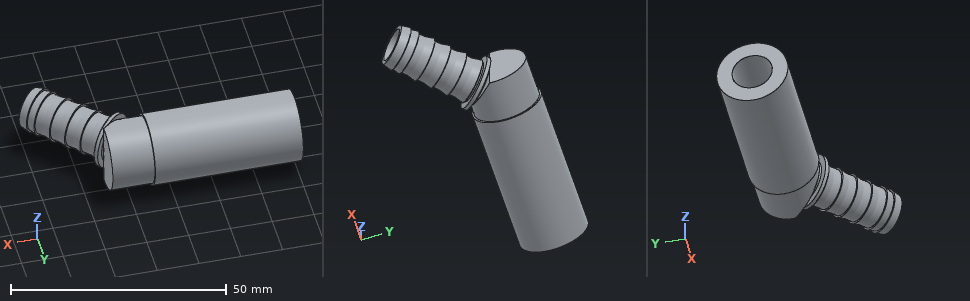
import cadquery as cq
import math

sleeve_diameter = 17.0
sleeve_length = 35.45
shank_diameter = 16.0
shank_end = 45.5
entry_bore_diameter = 9.5
passage_diameter = 8.0

overall_length = 61.75
overall_width = 32.75
tail_angle = 45.0
tail_length = 23.0
tail_diameter = 10.0

collar_diameter = 13.5
collar_start = 0.55
collar_thickness = 1.0

barb_diameter = 11.0
barb_start = 2.05
barb_pitch = 4.15
barb_count = 5
barb_length = barb_pitch / 2
tip_barb_start = barb_start + (barb_count - 0.5) * barb_pitch

cos_tail = math.cos(math.radians(tail_angle))
sin_tail = math.sin(math.radians(tail_angle))
tip_x = overall_length - tail_diameter / 2 * sin_tail
tip_y = sleeve_diameter / 2 - overall_width + tail_diameter / 2 * cos_tail
elbow_x = tip_x + tip_y * cos_tail / sin_tail

seat_plane = cq.Plane(
    origin=(tip_x - tail_length * cos_tail, tip_y + tail_length * sin_tail, 0),
    xDir=(sin_tail, cos_tail, 0),
    normal=(cos_tail, -sin_tail, 0),
)


def tail_cylinder(diameter, start, length):
    """Round section of the tail, placed by its distance from the seat face."""
    return cq.Workplane(seat_plane).workplane(offset=start).circle(diameter / 2).extrude(length)


def barb(start, length):
    """Conical barb with its crest toward the collar."""
    return (
        cq.Workplane(seat_plane)
        .workplane(offset=start)
        .circle(barb_diameter / 2)
        .workplane(offset=length)
        .circle(tail_diameter / 2)
        .loft(ruled=True)
    )


def straight_body():
    """Sleeve and thinner shank, with the shank corner cut off by the seat face."""
    sleeve = cq.Workplane("YZ").circle(sleeve_diameter / 2).extrude(sleeve_length)
    shank = cq.Workplane("YZ").circle(shank_diameter / 2).extrude(shank_end)
    corner = tail_cylinder(2 * shank_diameter, 0, shank_diameter)
    return sleeve.union(shank.cut(corner))


def hose_tail():
    """Tail with its collar and barbs."""
    tail = tail_cylinder(tail_diameter, 0, tail_length)
    tail = tail.union(tail_cylinder(collar_diameter, collar_start, collar_thickness))
    for index in range(barb_count):
        tail = tail.union(barb(barb_start + index * barb_pitch, barb_length))
    return tail.union(barb(tip_barb_start, tail_length - tip_barb_start))


def flow_passage():
    """Wide bore through the sleeve, then a mitred passage out through the tail."""
    entry = cq.Workplane("YZ").circle(entry_bore_diameter / 2).extrude(sleeve_length)
    path = cq.Workplane("XY").polyline([(0, 0), (elbow_x, 0), (tip_x, tip_y)])
    passage = cq.Workplane("YZ").circle(passage_diameter / 2).sweep(path, transition="right")
    return entry.union(passage)


result = straight_body().union(hose_tail()).cut(flow_passage())